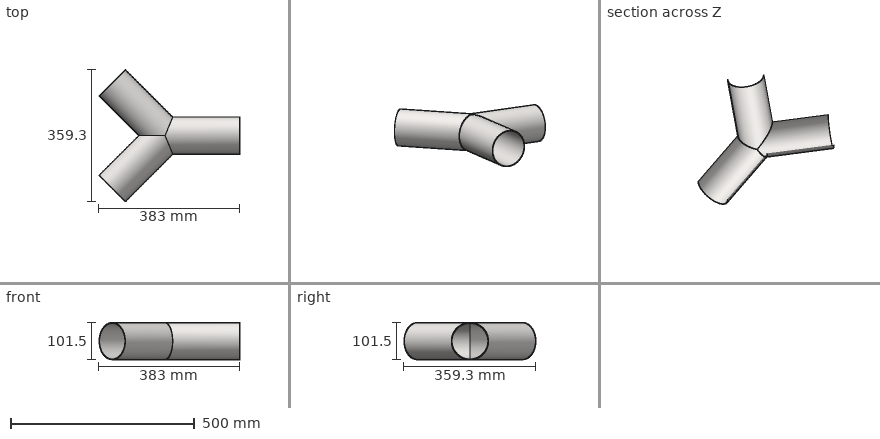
import cadquery as cq
import math

overall_length = 383.0
outer_diameter = 101.5
inner_diameter = 97.2
branch_angle = 135.0

outer_radius = outer_diameter / 2
branch_tilt = math.radians(180.0 - branch_angle)
rim_overhang = outer_radius * math.sin(branch_tilt)
pipe_length = (overall_length - rim_overhang) / (1 + math.cos(branch_tilt))

outlet_mitre_angle = branch_angle / 2
crotch_mitre_angle = 180.0
sector_reach = 3 * pipe_length


def polar_point(radius, angle):
    """Point in the XY plane at a radius and an angle in degrees."""
    return (radius * math.cos(math.radians(angle)), radius * math.sin(math.radians(angle)))


def mitre_sector(start_angle, end_angle):
    """Upright wedge with its edge on the Z axis, between two mitre planes."""
    middle_angle = (start_angle + end_angle) / 2
    corners = [polar_point(sector_reach, angle) for angle in (start_angle, middle_angle, end_angle)]
    return (
        cq.Workplane("XY")
        .polyline([(0, 0)] + corners)
        .close()
        .extrude(outer_diameter, both=True)
    )


def mitred_pipe(direction, start_angle, end_angle):
    """Pipe from the junction along a direction, trimmed by its two mitre planes."""
    tube = (
        cq.Workplane("YZ")
        .circle(outer_radius)
        .circle(inner_diameter / 2)
        .extrude(pipe_length)
        .rotate((0, 0, 0), (0, 0, 1), direction)
    )
    return tube.intersect(mitre_sector(start_angle, end_angle)).solids()


outlet_pipe = mitred_pipe(0, -outlet_mitre_angle, outlet_mitre_angle)

branch_pipes = [
    mitred_pipe(side * branch_angle, side * outlet_mitre_angle, side * crotch_mitre_angle)
    for side in (1, -1)
]

result = cq.Compound.makeCompound([outlet_pipe.val(), *[pipe.val() for pipe in branch_pipes]])